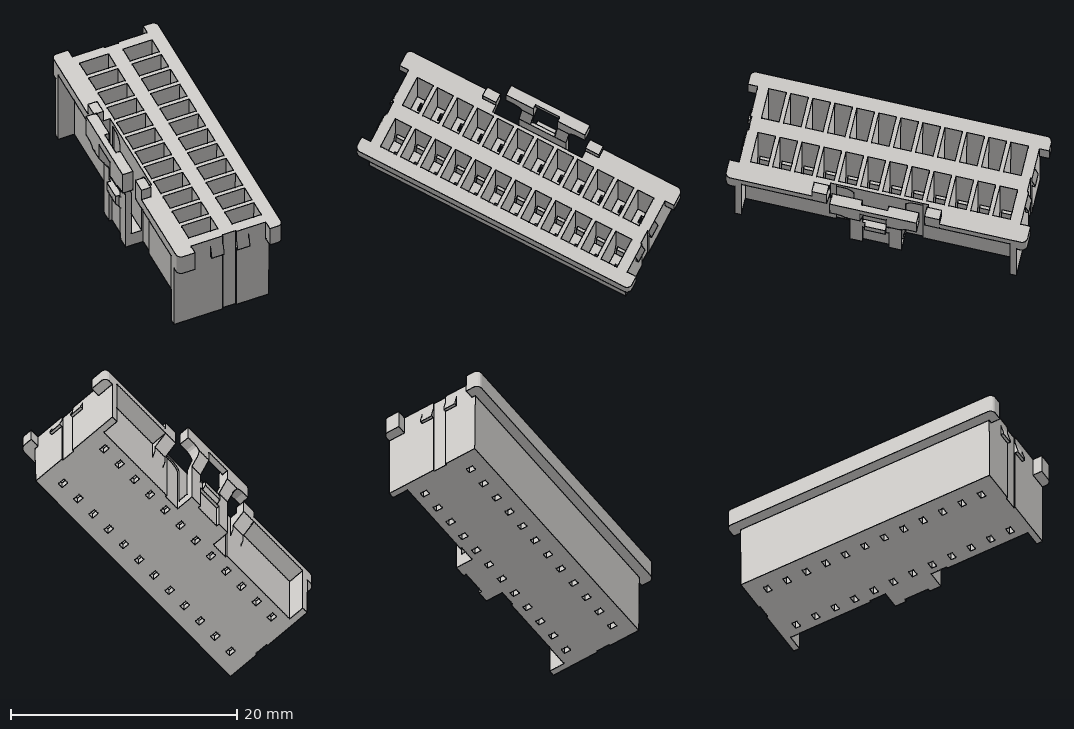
import cadquery as cq

HOUSING_HEIGHT = 9.3
BODY_HALF_LENGTH = 12.8
FRONT_Y = -5.4
BACK_TOP_Y = 3.86
BACK_BOTTOM_Y = 3.79
BACK_LEAN = BACK_TOP_Y - BACK_BOTTOM_Y

RIM_HALF_LENGTH = 13.7
RIM_BOTTOM_Z = 7.2
RIM_BACK_Y = 4.8
BACK_EAR_INNER_Y = 3.5
FRONT_EAR_INNER_Y = -3.75
RIM_CORNER_RADIUS = 0.5

END_WALL_THICKNESS = 0.6
PANEL_Y = -3.84
LIP_BOTTOM_Z = 8.2
LIP_GAP_HALF_WIDTH = 4.45

CAVITIES_PER_ROW = 12
PITCH = 2.0
CAVITY_WIDTH = 1.6
CAVITY_INNER_Y = 0.69
CAVITY_OUTER_Y = 3.52
CAVITY_FLOOR_Z = 1.0
PIN_HOLE_WIDTH = 0.5
PIN_HOLE_LENGTH = 0.66
BACK_PIN_HOLE_Y = 2.15
FRONT_PIN_HOLE_Y = -2.8
RIB_WIDTH = 1.2
RIB_DEPTH = 0.28
RIB_TOP_Z = 3.0

END_GROOVE_HALF_WIDTH = 0.65
END_GROOVE_DEPTH = 0.13
WEDGE_OUTER_Y = 1.85
WEDGE_HEIGHT = 0.27
WEDGE_TOP_Z = 8.45
WEDGE_EDGE_Z = 7.38
WEDGE_BOTTOM_Z = RIM_BOTTOM_Z

TAB_OUTER_X = 5.8
TAB_THICKNESS = 0.9
TAB_TOP_Z = 10.5
BRACKET_PROJECTION = 0.27
BRACKET_SHOULDER_Z = 7.1
BRACKET_EDGE_Z = 6.2
BRACKET_BOTTOM_Z = 5.3

LATCH_TOP_Z = 11.15
BAR_HALF_WIDTH = 3.94
BAR_FRONT_Y = -6.4
BAR_EDGE_Z = 8.4
ARM_HALF_WIDTH = 2.35
ARM_THICKNESS = 0.57
ARM_TOP_Z = 6.7
ARM_SHOULDER_Z = 8.1
ARM_ROOT_Z = 1.5
ARM_BACK_Y = FRONT_Y + ARM_THICKNESS
CLEARANCE_TOP_Z = 8.8
CLEARANCE_RADIUS = 0.97
CLEARANCE_BACK_Y = -3.69

WINDOW_HALF_WIDTH = 1.2
WINDOW_TOP_Z = 10.15
SILL_Z = 5.3
CHANNEL_TOP_Z = 3.9
CHANNEL_DEPTH = 0.28
BAR_NOTCH_DEPTH = 0.42
CATCH_HALF_WIDTH = 0.95
CATCH_PROJECTION = 0.34
CATCH_EDGE_Z = 4.36

SIDES = (-1, 1)


def box(x_range, y_range, z_range):
    """Box between two limits on each axis, the limits in any order."""
    sizes = [abs(high - low) for low, high in (x_range, y_range, z_range)]
    corner = tuple(min(limits) for limits in (x_range, y_range, z_range))
    return cq.Workplane("XY").box(*sizes, centered=False).translate(corner)


def symmetric_box(half_width, y_range, z_range):
    return box((-half_width, half_width), y_range, z_range)


def extruded_along_x(yz_points, x_start, x_end):
    """Prism with a YZ outline between two X positions."""
    outline = cq.Workplane("YZ", origin=(x_start, 0, 0)).polyline(yz_points).close()
    return outline.extrude(x_end - x_start)


def make_housing():
    core_outline = [
        (FRONT_Y, 0),
        (BACK_BOTTOM_Y, 0),
        (BACK_TOP_Y, RIM_BOTTOM_Z),
        (BACK_TOP_Y, HOUSING_HEIGHT),
        (FRONT_Y, HOUSING_HEIGHT),
    ]
    housing = extruded_along_x(core_outline, -BODY_HALF_LENGTH, BODY_HALF_LENGTH)
    rim_z = (RIM_BOTTOM_Z, HOUSING_HEIGHT)
    rim = symmetric_box(RIM_HALF_LENGTH, (FRONT_Y, RIM_BACK_Y), rim_z)
    rim = rim.edges("|Z").fillet(RIM_CORNER_RADIUS)
    for side in SIDES:
        end_x = (side * BODY_HALF_LENGTH, side * RIM_HALF_LENGTH)
        rim = rim.cut(box(end_x, (FRONT_EAR_INNER_Y, BACK_EAR_INNER_Y), rim_z))
    housing = housing.union(rim)

    panel_half_length = BODY_HALF_LENGTH - END_WALL_THICKNESS
    housing = housing.cut(symmetric_box(panel_half_length, (FRONT_Y, PANEL_Y), (0, LIP_BOTTOM_Z)))
    return housing.cut(symmetric_box(LIP_GAP_HALF_WIDTH, (FRONT_Y, PANEL_Y), (0, HOUSING_HEIGHT)))


def make_cavity(x, row):
    """Space of one terminal: row is +1 for the back row and -1 for the front row.

    The outer wall of the back row leans with the back of the housing. The inner wall has a ramp
    near the floor, with a flat-topped rib in its middle.
    """
    inner_y = row * CAVITY_INNER_Y
    ramp_foot_y = row * (CAVITY_INNER_Y + RIB_DEPTH)
    outer_y = row * CAVITY_OUTER_Y
    outer_foot_y = outer_y - BACK_LEAN if row > 0 else outer_y
    outline = [
        (inner_y, HOUSING_HEIGHT),
        (inner_y, RIB_TOP_Z),
        (ramp_foot_y, CAVITY_FLOOR_Z),
        (outer_foot_y, CAVITY_FLOOR_Z),
        (outer_y, HOUSING_HEIGHT),
    ]
    cavity = extruded_along_x(outline, x - CAVITY_WIDTH / 2, x + CAVITY_WIDTH / 2)
    rib_x = (x - RIB_WIDTH / 2, x + RIB_WIDTH / 2)
    cavity = cavity.cut(box(rib_x, (inner_y, ramp_foot_y), (CAVITY_FLOOR_Z, RIB_TOP_Z)))

    hole_y = BACK_PIN_HOLE_Y if row > 0 else FRONT_PIN_HOLE_Y
    pin_hole = box(
        (x - PIN_HOLE_WIDTH / 2, x + PIN_HOLE_WIDTH / 2),
        (hole_y - PIN_HOLE_LENGTH / 2, hole_y + PIN_HOLE_LENGTH / 2),
        (0, CAVITY_FLOOR_Z),
    )
    return cavity.union(pin_hole)


def cut_cavities(part):
    first_x = -PITCH * (CAVITIES_PER_ROW - 1) / 2
    for row in SIDES:
        for index in range(CAVITIES_PER_ROW):
            part = part.cut(make_cavity(first_x + index * PITCH, row))
    return part


def add_end_details(part):
    for side in SIDES:
        face_x = side * BODY_HALF_LENGTH
        wedge = (
            cq.Workplane("XZ", origin=(0, WEDGE_OUTER_Y, 0))
            .moveTo(face_x, WEDGE_TOP_Z)
            .lineTo(face_x + side * WEDGE_HEIGHT, WEDGE_EDGE_Z)
            .lineTo(face_x + side * WEDGE_HEIGHT, WEDGE_BOTTOM_Z)
            .lineTo(face_x, WEDGE_BOTTOM_Z)
            .close()
            .extrude(2 * WEDGE_OUTER_Y)
        )
        groove = box(
            (face_x - side * END_GROOVE_DEPTH, face_x + side * WEDGE_HEIGHT),
            (-END_GROOVE_HALF_WIDTH, END_GROOVE_HALF_WIDTH),
            (0, HOUSING_HEIGHT),
        )
        part = part.union(wedge).cut(groove)
    return part


def add_guard_tabs(part):
    bracket_front_y = PANEL_Y - BRACKET_PROJECTION
    bracket_outline = [
        (FRONT_Y, LIP_BOTTOM_Z),
        (bracket_front_y, BRACKET_SHOULDER_Z),
        (bracket_front_y, BRACKET_EDGE_Z),
        (PANEL_Y, BRACKET_BOTTOM_Z),
        (PANEL_Y, LIP_BOTTOM_Z),
    ]
    for side in SIDES:
        inner_x = side * LIP_GAP_HALF_WIDTH
        outer_x = side * TAB_OUTER_X
        tab = box((inner_x, outer_x), (FRONT_Y, FRONT_Y + TAB_THICKNESS), (LIP_BOTTOM_Z, TAB_TOP_Z))
        bracket = extruded_along_x(bracket_outline, inner_x, outer_x)
        part = part.union(tab).union(bracket)
    return part


def make_latch():
    arm_outline = [
        (PANEL_Y, 0),
        (FRONT_Y, 0),
        (FRONT_Y, ARM_SHOULDER_Z),
        (ARM_BACK_Y, ARM_TOP_Z),
        (ARM_BACK_Y, ARM_ROOT_Z),
        (PANEL_Y, ARM_ROOT_Z),
    ]
    bar_outline = [
        (FRONT_Y, ARM_TOP_Z),
        (BAR_FRONT_Y, BAR_EDGE_Z),
        (BAR_FRONT_Y, LATCH_TOP_Z),
        (FRONT_Y, LATCH_TOP_Z),
    ]
    arm = extruded_along_x(arm_outline, -ARM_HALF_WIDTH, ARM_HALF_WIDTH)
    bar = extruded_along_x(bar_outline, -BAR_HALF_WIDTH, BAR_HALF_WIDTH)
    latch = arm.union(bar)

    channel_y = FRONT_Y + CHANNEL_DEPTH
    window = symmetric_box(WINDOW_HALF_WIDTH, (BAR_FRONT_Y, ARM_BACK_Y), (ARM_TOP_Z, WINDOW_TOP_Z))
    sill_step = symmetric_box(WINDOW_HALF_WIDTH, (BAR_FRONT_Y, channel_y), (SILL_Z, ARM_TOP_Z))
    channel = symmetric_box(WINDOW_HALF_WIDTH, (FRONT_Y, channel_y), (0, CHANNEL_TOP_Z))
    notch_y = (FRONT_Y - BAR_NOTCH_DEPTH, FRONT_Y)
    bar_notch = symmetric_box(WINDOW_HALF_WIDTH, notch_y, (WINDOW_TOP_Z, LATCH_TOP_Z))
    latch = latch.cut(window).cut(sill_step).cut(channel).cut(bar_notch)

    catch_outline = [
        (FRONT_Y, CHANNEL_TOP_Z),
        (FRONT_Y - CATCH_PROJECTION, CATCH_EDGE_Z),
        (FRONT_Y - CATCH_PROJECTION, SILL_Z),
        (FRONT_Y, SILL_Z),
    ]
    return latch.union(extruded_along_x(catch_outline, -CATCH_HALF_WIDTH, CATCH_HALF_WIDTH))


def cut_latch_clearances(part):
    """Clear the space beside the arm, from the underside of the bar into the panel behind it."""
    depth = CLEARANCE_BACK_Y - BAR_FRONT_Y
    for side in SIDES:
        arm_x = side * ARM_HALF_WIDTH
        bar_end_x = side * BAR_HALF_WIDTH
        arc_start_x = side * (ARM_HALF_WIDTH + CLEARANCE_RADIUS)
        clearance = (
            cq.Workplane("XZ", origin=(0, CLEARANCE_BACK_Y, 0))
            .moveTo(arm_x, 0)
            .lineTo(bar_end_x, 0)
            .lineTo(bar_end_x, CLEARANCE_TOP_Z)
            .lineTo(arc_start_x, CLEARANCE_TOP_Z)
            .tangentArcPoint((arm_x, CLEARANCE_TOP_Z - CLEARANCE_RADIUS), relative=False)
            .close()
            .extrude(depth)
        )
        part = part.cut(clearance)
    return part


housing = add_end_details(cut_cavities(make_housing()))
housing = add_guard_tabs(housing).union(make_latch())
result = cut_latch_clearances(housing)